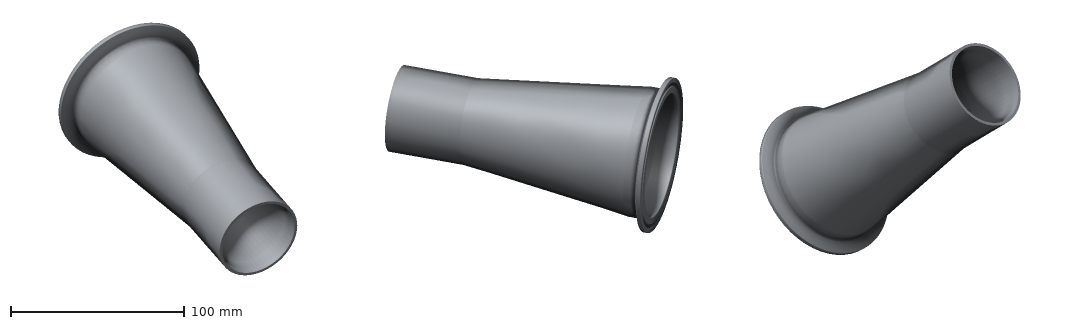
import cadquery as cq
import math

total_length = 158.8
taper_start = 12.7
taper_end = 114.3

large_outer_diameter = 76.2
large_bore_diameter = 72.9
small_outer_diameter = 50.8
small_bore_diameter = 47.5

flange_diameter = 91.0
flange_back_angle = 20
flange_rim_back = 2.9
rim_edge_radius = 0.5
bore_edge_radius = 0.5
neck_fillet_radius = 1.3

groove_diameter = 83.2
groove_width = 2.5
groove_depth = 1.1
groove_edge_radius = 0.5

large_outer_radius = large_outer_diameter / 2
large_bore_radius = large_bore_diameter / 2
small_outer_radius = small_outer_diameter / 2
small_bore_radius = small_bore_diameter / 2
flange_radius = flange_diameter / 2
flange_back_slope = math.tan(math.radians(flange_back_angle))
neck_start = flange_rim_back + (flange_radius - large_outer_radius) * flange_back_slope


def circle_edge(body, place, radius):
    """Select the circular edge of a given radius centred at a place on the X axis."""
    tolerance = 0.002
    low = (place - tolerance, -radius - tolerance, -radius - tolerance)
    high = (place + tolerance, radius + tolerance, radius + tolerance)
    inside = cq.selectors.BoxSelector(low, high, boundingbox=True)
    return body.edges(inside).edges(cq.selectors.RadiusNthSelector(-1))


def make_reducer():
    """Revolve the tapered tube and its clamp flange about the X axis."""
    profile = (
        cq.Workplane("XY")
        .moveTo(0, large_bore_radius)
        .lineTo(0, flange_radius)
        .lineTo(flange_rim_back, flange_radius)
        .lineTo(neck_start, large_outer_radius)
        .lineTo(taper_start, large_outer_radius)
        .lineTo(taper_end, small_outer_radius)
        .lineTo(total_length, small_outer_radius)
        .lineTo(total_length, small_bore_radius)
        .lineTo(taper_end, small_bore_radius)
        .lineTo(taper_start, large_bore_radius)
        .close()
    )
    return profile.revolve(360, (0, 0, 0), (1, 0, 0))


def make_groove():
    """Revolve the round-bottomed gasket groove about the X axis."""
    middle = groove_diameter / 2
    profile = (
        cq.Workplane("XY")
        .moveTo(0, middle - groove_width / 2)
        .threePointArc((groove_depth, middle), (0, middle + groove_width / 2))
        .close()
    )
    return profile.revolve(360, (0, 0, 0), (1, 0, 0))


groove_radii = [(groove_diameter + side * groove_width) / 2 for side in (-1, 1)]
rounded_edges = [
    (0, large_bore_radius, bore_edge_radius),
    (0, groove_radii[0], groove_edge_radius),
    (0, groove_radii[1], groove_edge_radius),
    (0, flange_radius, rim_edge_radius),
    (flange_rim_back, flange_radius, rim_edge_radius),
    (neck_start, large_outer_radius, neck_fillet_radius),
]

result = make_reducer().cut(make_groove())
for place, edge_radius, fillet_radius in rounded_edges:
    result = circle_edge(result, place, edge_radius).fillet(fillet_radius)